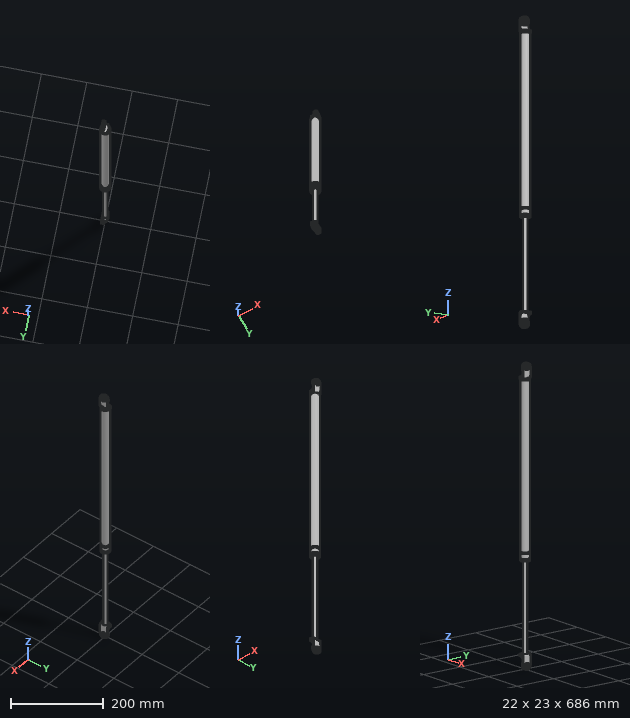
import cadquery as cq
import math

overall_length = 686.0
fitting_length = 34.9

tube_diameter = 22.0
tube_length = 406.8
tube_chamfer = 1.2
neck_diameter = 14.0
neck_height = 1.2
groove_depth = 1.0
groove_width = 3.2
groove_offsets = (2.3, 17.1)

rod_diameter = 10.0

sheet_thickness = 4.0
foot_width = 23.0
foot_half_depth = 7.0
foot_edge_radius = 24.5
bend_inner_radius = 0.5
side_bend_inner_radius = 6.0
side_strip_height = 8.2
lug_width = 20.0
lug_outer_x = 7.0

eye_diameter = 10.0
ring_thickness = 2.0

tube_radius = tube_diameter / 2
fitting_base = overall_length / 2 - fitting_length
tube_top = fitting_base - neck_height
tube_bottom = tube_top - tube_length
rod_bottom = -fitting_base

lug_inner_x = lug_outer_x - sheet_thickness
lug_radius = lug_width / 2
eye_height = fitting_length - lug_radius


def make_tube():
    """Solid of revolution with two ring grooves near the rod end and a neck at the top."""
    groove_radius = tube_radius - groove_depth
    neck_radius = neck_diameter / 2
    shoulder_radius = tube_radius - tube_chamfer
    outline = [(0, tube_bottom), (-shoulder_radius, tube_bottom), (-tube_radius, tube_bottom + tube_chamfer)]
    for offset in groove_offsets:
        groove_bottom = tube_bottom + offset
        groove_top = groove_bottom + groove_width
        outline += [
            (-tube_radius, groove_bottom),
            (-groove_radius, groove_bottom),
            (-groove_radius, groove_top),
            (-tube_radius, groove_top),
        ]
    outline += [
        (-tube_radius, tube_top - tube_chamfer),
        (-shoulder_radius, tube_top),
        (-neck_radius, tube_top),
        (-neck_radius, fitting_base),
        (0, fitting_base),
    ]
    return cq.Workplane("XZ").polyline(outline).close().revolve(360, (0, 0, 0), (0, 1, 0))


def make_rod():
    return (
        cq.Workplane("XY")
        .workplane(offset=rod_bottom)
        .circle(rod_diameter / 2)
        .extrude(tube_bottom - rod_bottom)
    )


def bent_sheet(inner_radius):
    """Foot, bend and lug as one strip of the foot's width, with the foot's underside at Z = 0."""
    outer_radius = inner_radius + sheet_thickness
    bend_x = lug_inner_x - inner_radius
    diagonal = math.sqrt(0.5)
    return (
        cq.Workplane("XZ")
        .moveTo(-foot_half_depth, 0)
        .lineTo(bend_x, 0)
        .threePointArc(
            (bend_x + outer_radius * diagonal, outer_radius * (1 - diagonal)),
            (lug_outer_x, outer_radius),
        )
        .lineTo(lug_outer_x, fitting_length)
        .lineTo(lug_inner_x, fitting_length)
        .lineTo(lug_inner_x, outer_radius)
        .threePointArc(
            (bend_x + inner_radius * diagonal, outer_radius - inner_radius * diagonal),
            (bend_x, sheet_thickness),
        )
        .lineTo(-foot_half_depth, sheet_thickness)
        .close()
        .extrude(foot_width / 2, both=True)
    )


def foot_outline():
    """Foot seen along Z: tapering sides and a bowed outer edge."""
    half_width = foot_width / 2
    bow = foot_edge_radius - math.sqrt(foot_edge_radius**2 - half_width**2)
    return (
        cq.Workplane("XY")
        .moveTo(lug_outer_x, -lug_radius)
        .lineTo(-foot_half_depth + bow, -half_width)
        .threePointArc((-foot_half_depth, 0), (-foot_half_depth + bow, half_width))
        .lineTo(lug_outer_x, lug_radius)
        .close()
        .extrude(fitting_length)
    )


def lug_outline():
    """Lug seen along X: parallel sides and a round end."""
    return (
        cq.Workplane("YZ")
        .moveTo(-lug_radius, 0)
        .lineTo(lug_radius, 0)
        .lineTo(lug_radius, eye_height)
        .threePointArc((0, fitting_length), (-lug_radius, eye_height))
        .close()
        .extrude(foot_half_depth + lug_outer_x, both=True)
    )


def x_cylinder(radius, start_x, length):
    """Cylinder along X, centred on the eye."""
    return cq.Workplane("YZ").workplane(offset=start_x).center(0, eye_height).circle(radius).extrude(length)


def make_fitting():
    """Sharply bent plate as wide as the lug, flanked by gently bent strips that taper into it."""
    outline = foot_outline()
    lug = lug_outline()
    plate = bent_sheet(bend_inner_radius).intersect(outline).intersect(lug)
    side_strips = bent_sheet(side_bend_inner_radius).intersect(outline).cut(lug)
    side_strips = side_strips.intersect(
        cq.Workplane("XY").rect(2 * foot_width, 2 * foot_width).extrude(side_strip_height)
    )
    eye = x_cylinder(eye_diameter / 2, lug_inner_x, sheet_thickness)
    return plate.union(side_strips).cut(eye)


def make_ring():
    ring_x = lug_inner_x - ring_thickness
    eye = x_cylinder(eye_diameter / 2, ring_x, ring_thickness)
    return x_cylinder(lug_radius, ring_x, ring_thickness).cut(eye)


def at_both_ends(part):
    """Copies for the tube end and, upside down, for the rod end."""
    upper = part.translate((0, 0, fitting_base))
    return [upper, upper.mirror("XY")]


tube = make_tube()
rod = make_rod()
fittings = at_both_ends(make_fitting())
rings = at_both_ends(make_ring())

result = cq.Compound.makeCompound(
    [tube.val(), rod.val(), *[fitting.val() for fitting in fittings], *[ring.val() for ring in rings]]
)